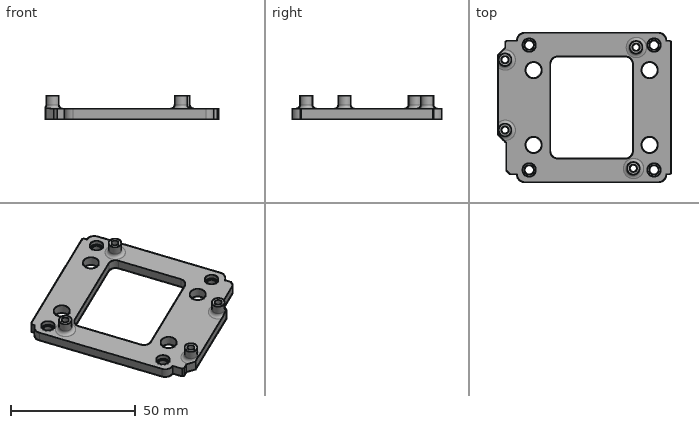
import cadquery as cq

height = 9.55
plate_thickness = 4.4
left_x = -37.5
right_x = 31.8
body_side = 59.95
body_corner_radius = 3.3

tab_y = 26.75
tab_corner_chamfer = 0.5
upper_corner_chamfer = 0.6
upper_notch_x = -34.65
upper_notch_y = 23.85
lower_notch_x = -34.15
lower_notch_y = -14.15
lower_corner_chamfer = 1.45

window_width = 33.0
window_length = 40.75
window_corner_radius = 3.0

screw_spacing = 49.95
screw_diameter = 3.7
counterbore_diameter = 5.4
counterbore_depth = 2.0
large_hole_spacing_x = 46.4
large_hole_spacing_y = 29.95
large_hole_diameter = 6.4

post_diameter = 5.05
post_bore_diameter = 2.8
post_foot_radius = 1.5
post_centers = [(-34.65, 19.1), (-34.65, -9.0), (17.8, 24.1), (16.7, -24.3)]


def make_blank(thickness):
    """Plate outline with its window, extruded upward from Z = 0."""
    body = (
        cq.Workplane("XY")
        .rect(body_side, body_side)
        .extrude(thickness)
        .edges("|Z")
        .fillet(body_corner_radius)
    )
    upper_flank_y = upper_notch_y - (upper_notch_x - left_x)
    lower_flank_y = lower_notch_y + (lower_notch_x - left_x)
    tabs = (
        cq.Workplane("XY")
        .moveTo(right_x - tab_corner_chamfer, tab_y)
        .lineTo(right_x, tab_y - tab_corner_chamfer)
        .lineTo(right_x, -tab_y + tab_corner_chamfer)
        .lineTo(right_x - tab_corner_chamfer, -tab_y)
        .lineTo(lower_notch_x + lower_corner_chamfer, -tab_y)
        .lineTo(lower_notch_x, -tab_y + lower_corner_chamfer)
        .lineTo(lower_notch_x, lower_notch_y)
        .lineTo(left_x, lower_flank_y)
        .lineTo(left_x, upper_flank_y)
        .lineTo(upper_notch_x, upper_notch_y)
        .lineTo(upper_notch_x, tab_y - upper_corner_chamfer)
        .lineTo(upper_notch_x + upper_corner_chamfer, tab_y)
        .close()
        .extrude(thickness)
    )
    window = (
        cq.Workplane("XY")
        .rect(window_width, window_length)
        .extrude(thickness)
        .edges("|Z")
        .fillet(window_corner_radius)
    )
    return body.union(tabs).cut(window)


def make_post(center):
    """Post with a concave flared foot, rising from the underside of the plate."""
    post_radius = post_diameter / 2
    foot_reach = post_radius + post_foot_radius
    foot_top = plate_thickness + post_foot_radius
    profile = (
        cq.Workplane("XZ")
        .lineTo(foot_reach, 0)
        .lineTo(foot_reach, plate_thickness)
        .radiusArc((post_radius, foot_top), post_foot_radius)
        .lineTo(post_radius, height)
        .lineTo(0, height)
        .close()
    )
    return profile.revolve(360, (0, 0, 0), (0, 1, 0)).translate((*center, 0))


plate = (
    make_blank(plate_thickness)
    .faces(">Z")
    .workplane(origin=(0, 0, plate_thickness))
    .rarray(screw_spacing, screw_spacing, 2, 2)
    .cboreHole(screw_diameter, counterbore_diameter, counterbore_depth)
    .faces(">Z")
    .workplane(origin=(0, 0, plate_thickness))
    .rarray(large_hole_spacing_x, large_hole_spacing_y, 2, 2)
    .hole(large_hole_diameter)
)

post_envelope = make_blank(height)
for post_center in post_centers:
    plate = plate.union(make_post(post_center).intersect(post_envelope))

bores = (
    cq.Workplane("XY")
    .pushPoints(post_centers)
    .circle(post_bore_diameter / 2)
    .extrude(height)
)

result = plate.cut(bores)